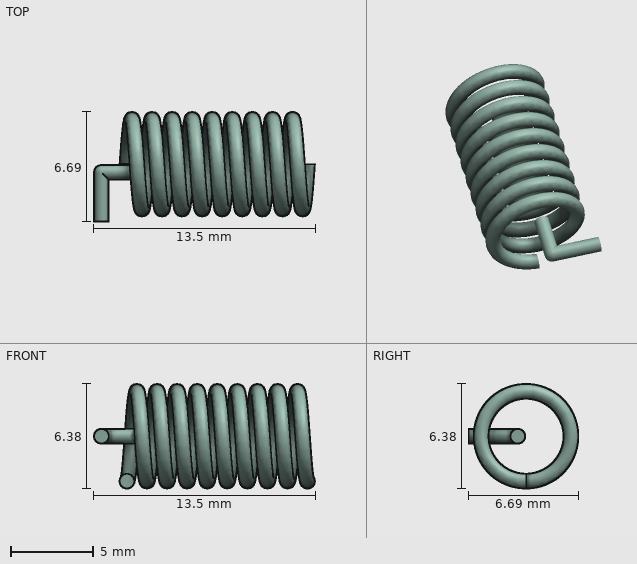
import cadquery as cq

overall_length = 13.45
wire_diameter = 0.9
wire_radius = wire_diameter / 2

coil_outer_diameter = 6.38
coil_turns = 9
coil_radius = (coil_outer_diameter - wire_diameter) / 2
coil_start_x = 2.0
coil_end_x = overall_length - wire_radius
coil_length = coil_end_x - coil_start_x
coil_pitch = coil_length / coil_turns

rod_corner_x = wire_radius
rod_corner_y = -0.5
rod_end_x = 3.01
leg_end_y = -3.5


def make_coil():
    """Right-handed coil whose wire ends lie below the axis, cut flat in the plane Y = 0."""
    path = cq.Workplane(obj=cq.Wire.makeHelix(coil_pitch, coil_length, coil_radius))
    upright_coil = (
        cq.Workplane("XZ")
        .center(coil_radius, 0)
        .circle(wire_radius)
        .sweep(path, isFrenet=True)
    )
    return upright_coil.rotate((0, 0, 0), (0, 1, 0), 90).translate((coil_start_x, 0, 0))


def make_bent_rod():
    """Two round arms at a right angle, joined by a ball at the corner."""
    corner = (rod_corner_x, rod_corner_y, 0)
    long_arm = cq.Workplane("YZ", origin=corner).circle(wire_radius).extrude(rod_end_x - rod_corner_x)
    leg = cq.Workplane("XZ", origin=corner).circle(wire_radius).extrude(rod_corner_y - leg_end_y)
    ball = cq.Workplane("XY", origin=corner).sphere(wire_radius)
    return long_arm.union(leg).union(ball)


coil = make_coil()
bent_rod = make_bent_rod()

result = cq.Compound.makeCompound([coil.val(), bent_rod.val()])